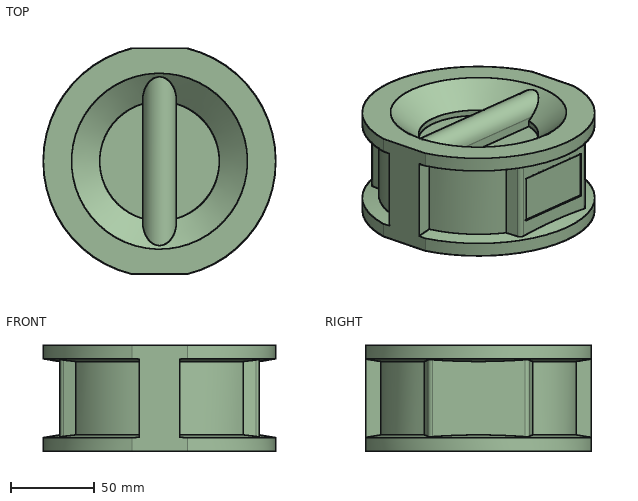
import cadquery as cq
import math

flange_radius = 70.0
height = 64.0
flats_width = 136.0
rim_thickness = 8.3
root_thickness = 10.0
drum_radius = 60.0
rib_width = 24.1

pad_face_x = drum_radius
pad_half_width = 30.0
pad_flare = math.radians(15)
pad_edge_radius = 3.0

plate_length = 50.4
plate_height = 27.5
plate_depth = 1.0

mouth_radius = 52.9
throat_radius = 36.0
mouth_depth = 14.0
throat_depth = 3.5

bar_radius = 10.1
bar_top_depth = 1.8


def make_drum_and_flanges():
    profile = [
        (0, 0),
        (flange_radius, 0),
        (flange_radius, rim_thickness),
        (drum_radius, root_thickness),
        (drum_radius, height - root_thickness),
        (flange_radius, height - rim_thickness),
        (flange_radius, height),
        (0, height),
    ]
    return cq.Workplane("XZ").polyline(profile).close().revolve(360, (0, 0, 0), (0, 1, 0))


def make_ribs():
    across = 2 * flange_radius
    bar = cq.Workplane("XY").box(rib_width, across, height, centered=(True, True, False))
    envelope = cq.Workplane("XY").circle(flange_radius).extrude(height)
    return bar.intersect(envelope)


def make_pads():
    """Both pads as one prism through the drum, waisted outwards and rounded at its four edges."""
    centre_half_width = pad_half_width + pad_face_x * math.tan(pad_flare)
    outline = [
        (-pad_face_x, -pad_half_width),
        (0, -centre_half_width),
        (pad_face_x, -pad_half_width),
        (pad_face_x, pad_half_width),
        (0, centre_half_width),
        (-pad_face_x, pad_half_width),
    ]
    pads = (
        cq.Workplane("XY")
        .workplane(offset=rim_thickness / 2)
        .polyline(outline)
        .close()
        .extrude(height - rim_thickness)
    )
    return pads.faces("<X or >X").edges("|Z").fillet(pad_edge_radius)


def make_plate_recess():
    """Cutter centred on the pad face, so half of its thickness lies inside the pad."""
    return (
        cq.Workplane("XY")
        .box(2 * plate_depth, plate_length, plate_height)
        .translate((-pad_face_x, 0, height / 2))
    )


def make_bar():
    axis_z = height - bar_top_depth - bar_radius
    floor_z = height - mouth_depth - throat_depth
    return (
        cq.Workplane("XZ")
        .moveTo(-bar_radius, floor_z)
        .lineTo(-bar_radius, axis_z)
        .threePointArc((0, axis_z + bar_radius), (bar_radius, axis_z))
        .lineTo(bar_radius, floor_z)
        .close()
        .extrude(mouth_radius, both=True)
    )


def make_opening():
    throat_z = height - mouth_depth
    floor_z = throat_z - throat_depth
    profile = [
        (0, floor_z),
        (throat_radius, floor_z),
        (throat_radius, throat_z),
        (mouth_radius, height),
        (0, height),
    ]
    return cq.Workplane("XZ").polyline(profile).close().revolve(360, (0, 0, 0), (0, 1, 0))


body = make_drum_and_flanges().union(make_ribs()).union(make_pads())
flats = cq.Workplane("XY").box(2 * flange_radius, flats_width, height, centered=(True, True, False))
body = body.intersect(flats)
body = body.cut(make_plate_recess())
result = body.cut(make_opening().cut(make_bar()))